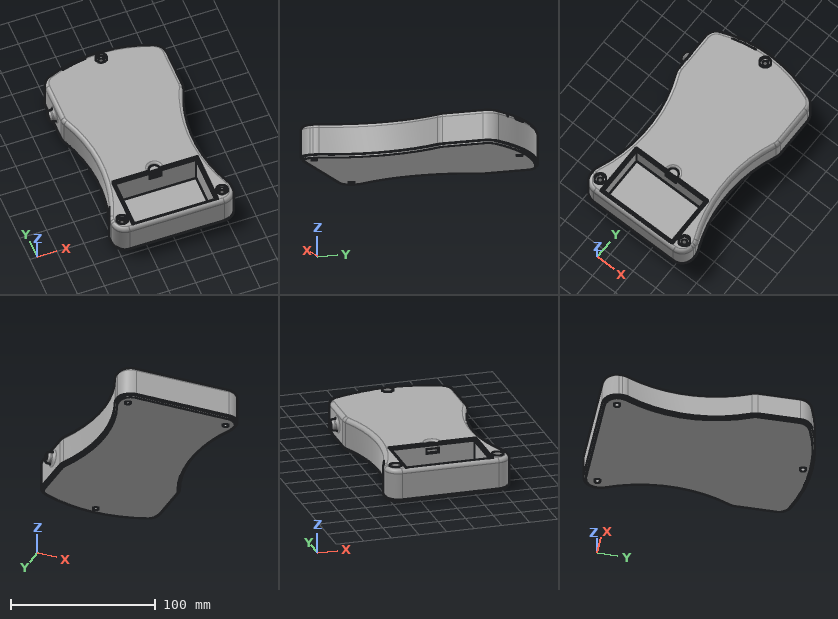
import cadquery as cq
import math

width = 90.0
length = 154.7
height = 24.0
top_fillet = 3.0

corner_radius = 10.0
waist_inset = 10.0
waist_y = 60.0
waist_blend_reach = 47.8
upper_side_end_y = 137.7

lip_height = 2.0
lip_inset = 1.7

screw_hole_diameter = 4.0
screw_head_diameter = 8.0
screw_head_depth = 3.0
screw_edge_distance = 8.0
lower_screw_y = 10.0
upper_screw_y = 147.9

pocket_width = 60.0
pocket_length = 37.0
pocket_floor = 2.0
ledge_width = 1.5
ledge_depth = 1.5
recess_bottom_y = 3.4
recess_width = pocket_width + 2 * ledge_width
recess_length = pocket_length + 2 * ledge_width
recess_top_y = recess_bottom_y + recess_length
pocket_top_y = recess_top_y - ledge_width

notch_diameter = 8.0
notch_rim_radius = 2.0
notch_setback = 1.0

slot_width = 9.0
slot_height = 3.4
slot_depth = 2.0
slot_top_drop = 4.0

stub_diameter = 8.0
stub_length = 5.0
stub_round = 2.0
stub_bore = 3.5
stub_y = 119.9
stub_z = height - 10.0


def body_outline():
    """Closed outline of tangent arcs and lines, drawn counter-clockwise from the bottom edge."""
    half = width / 2
    corner_x = half - corner_radius
    diagonal = corner_radius * math.sqrt(0.5)

    centre_gap = (waist_inset**2 + waist_blend_reach**2) / (2 * waist_inset)
    blend_angle = math.asin(waist_blend_reach / centre_gap)
    blend_x = corner_x + corner_radius * math.cos(blend_angle)
    blend_mid_x = corner_x + corner_radius * math.cos(blend_angle / 2)
    blend_rise = corner_radius * math.sin(blend_angle)
    blend_mid_rise = corner_radius * math.sin(blend_angle / 2)
    lower_blend_y = waist_y - waist_blend_reach
    upper_blend_y = waist_y + waist_blend_reach

    drop = length - upper_side_end_y
    crown_radius = (corner_x**2 + drop**2 - corner_radius**2) / (2 * (drop - corner_radius))
    crown_angle = math.atan2(upper_side_end_y - length + crown_radius, corner_x)
    crown_x = corner_x + corner_radius * math.cos(crown_angle)
    crown_y = upper_side_end_y + corner_radius * math.sin(crown_angle)
    crown_mid_x = corner_x + corner_radius * math.cos(crown_angle / 2)
    crown_mid_y = upper_side_end_y + corner_radius * math.sin(crown_angle / 2)

    return (
        cq.Workplane("XY")
        .moveTo(-corner_x, 0)
        .lineTo(corner_x, 0)
        .threePointArc((corner_x + diagonal, corner_radius - diagonal), (half, corner_radius))
        .lineTo(half, lower_blend_y)
        .threePointArc((blend_mid_x, lower_blend_y + blend_mid_rise), (blend_x, lower_blend_y + blend_rise))
        .threePointArc((half - waist_inset, waist_y), (blend_x, upper_blend_y - blend_rise))
        .threePointArc((blend_mid_x, upper_blend_y - blend_mid_rise), (half, upper_blend_y))
        .lineTo(half, upper_side_end_y)
        .threePointArc((crown_mid_x, crown_mid_y), (crown_x, crown_y))
        .threePointArc((0, length), (-crown_x, crown_y))
        .threePointArc((-crown_mid_x, crown_mid_y), (-half, upper_side_end_y))
        .lineTo(-half, upper_blend_y)
        .threePointArc((-blend_mid_x, upper_blend_y - blend_mid_rise), (-blend_x, upper_blend_y - blend_rise))
        .threePointArc((waist_inset - half, waist_y), (-blend_x, lower_blend_y + blend_rise))
        .threePointArc((-blend_mid_x, lower_blend_y + blend_mid_rise), (-half, lower_blend_y))
        .lineTo(-half, corner_radius)
        .threePointArc((-corner_x - diagonal, corner_radius - diagonal), (-corner_x, 0))
        .close()
    )


def body():
    shell = body_outline().extrude(height - lip_height).translate((0, 0, lip_height))
    shell = shell.faces(">Z").edges().fillet(top_fillet)
    lip = body_outline().offset2D(-lip_inset).extrude(lip_height)
    return shell.union(lip)


def box_cut(size_x, size_y, size_z, low_y, low_z):
    """Box centred on X = 0, rising from low_y and low_z."""
    return (
        cq.Workplane("XY")
        .box(size_x, size_y, size_z, centered=(True, False, False))
        .translate((0, low_y, low_z))
    )


def compartment():
    recess = box_cut(recess_width, recess_length, ledge_depth, recess_bottom_y, height - ledge_depth)
    pocket_bottom_y = recess_bottom_y + ledge_width
    pocket = box_cut(pocket_width, pocket_length, height - pocket_floor, pocket_bottom_y, pocket_floor)
    slot_z = height - slot_top_drop - slot_height
    slot = box_cut(slot_width, slot_depth, slot_height, pocket_top_y, slot_z)
    return recess.union(pocket).union(slot)


def notch_section():
    """Half section of the finger notch: a flat floor and a quarter-circle rim."""
    notch_radius = notch_diameter / 2
    rim_offset = notch_rim_radius * (1 - math.sqrt(0.5))
    return (
        cq.Workplane("XZ")
        .moveTo(0, height - notch_rim_radius)
        .lineTo(notch_radius, height - notch_rim_radius)
        .threePointArc(
            (notch_radius + rim_offset, height - rim_offset),
            (notch_radius + notch_rim_radius, height),
        )
        .lineTo(0, height)
        .close()
    )


def finger_notch():
    """Round-ended cutter that opens into the lid recess through a short straight run."""
    rim_diameter = notch_diameter + 2 * notch_rim_radius
    round_end = notch_section().revolve(360, (0, 0), (0, 1))
    half_run = notch_section().extrude(notch_setback)
    run = half_run.union(half_run.mirror("YZ"))
    centre_y = recess_top_y + notch_setback
    behind_recess = box_cut(rim_diameter, rim_diameter, height, recess_top_y, 0)
    return round_end.union(run).translate((0, centre_y, 0)).intersect(behind_recess)


def stub():
    """Solid of revolution about the X direction, rooted in the -X side."""
    radius = stub_diameter / 2
    root = -width / 2
    tip = root - stub_length
    near_arc = stub_round * (1 - math.sqrt(0.5))
    return (
        cq.Workplane("XY")
        .moveTo(root, 0)
        .lineTo(root, radius + stub_round)
        .threePointArc((root - near_arc, radius + near_arc), (root - stub_round, radius))
        .lineTo(tip + stub_round, radius)
        .threePointArc((tip + near_arc, radius - near_arc), (tip, radius - stub_round))
        .lineTo(tip, 0)
        .close()
        .revolve(360, (0, 0), (1, 0))
        .translate((0, stub_y, stub_z))
    )


def stub_hole():
    return (
        cq.Workplane("YZ", origin=(-width / 2 - stub_length, stub_y, stub_z))
        .circle(stub_bore / 2)
        .extrude(stub_length)
    )


screw_x = width / 2 - screw_edge_distance
screw_points = [(-screw_x, lower_screw_y), (screw_x, lower_screw_y), (0, upper_screw_y)]

result = body().cut(compartment()).cut(finger_notch()).union(stub()).cut(stub_hole())
result = (
    result.copyWorkplane(cq.Workplane("XY", origin=(0, 0, height)))
    .pushPoints(screw_points)
    .cboreHole(screw_hole_diameter, screw_head_diameter, screw_head_depth)
)